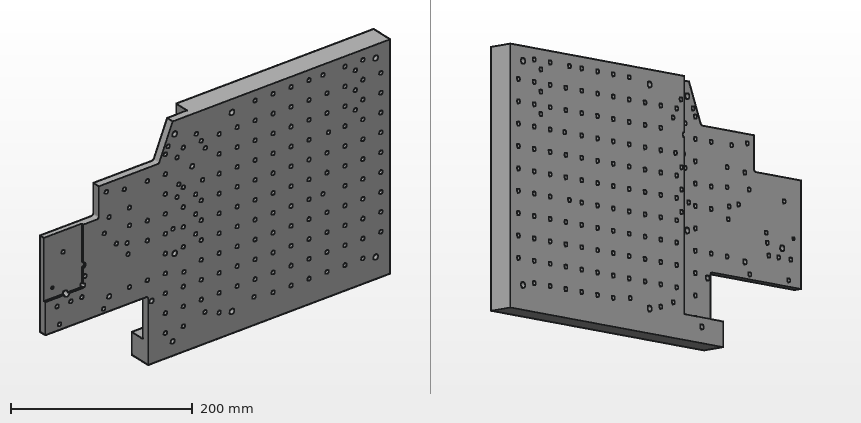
import cadquery as cq

length = 480.0
height = 295.0
thickness = 30.0
web_thickness = 10.0
y_edge = length / 2
z_top = height / 2

slope_start = 303.0
slope_end = 322.0
shoulder_depth = 46.5
shoulder_end = 405.5
tab_top = 87.5
tab_bottom = 209.0
body_length = 337.0
corner_radius = 3.0

recess_start = 275.0
recess_bottom = 266.5
recess_radius = 1.5

pocket_start = 427.0
pocket_bottom = 167.0
pocket_depth = 3.0
relief_radius = 3.5
relief_down = 138.5

hole_diameter = 5.0
dowel_diameter = 6.0
mount_diameter = 6.5
pin_diameter = 3.5

grid_margin = 13.0
grid_span = 300.0
grid_pitch = grid_span / 12
grid_columns = [
    [1, 2, 4, 5, 6, 7],
    [*range(13)],
    [*range(10), 12, 13],
    [0, 1, 2, *range(4, 10), 11, 12, 14],
    [*range(14)],
    [*range(14)],
    [0, 1, 2, *range(4, 13)],
    [*range(11), 12, 13, 14],
    [*range(13)],
    [*range(13)],
    [*range(1, 7), 9, 11, 12],
]

extra_holes = [
    (93.5, 13.0), (48.5, 22.5), (270.0, 27.0), (309.0, 29.5), (48.5, 47.5), (296.5, 47.5),
    (257.5, 49.0), (395.0, 57.0), (370.0, 62.5), (48.5, 72.5), (294.0, 82.0), (86.0, 88.0),
    (261.0, 88.0), (391.0, 90.0), (296.5, 97.5), (270.5, 102.5), (398.0, 108.5), (363.0, 110.5),
    (453.0, 114.0), (270.5, 127.5), (381.0, 127.0), (366.0, 131.5), (302.5, 135.5), (365.0, 146.0),
    (270.5, 152.5), (425.0, 153.0), (93.5, 162.5), (426.5, 164.0), (429.0, 178.0), (444.5, 178.0),
    (463.5, 178.0), (287.0, 195.0), (460.5, 201.5), (399.0, 203.0), (258.0, 255.5), (189.5, 259.5),
]
dowel_holes = [(275.5, 66.0), (391.0, 190.0), (332.0, 216.0), (303.0, 277.0)]
mount_holes = [
    (20.0, 17.0), (220.5, 17.0), (300.0, 17.0), (300.0, 167.0), (450.0, 167.0), (20.0, 267.5), (220.5, 267.5),
]
pin_holes = [(468.0, 154.0)]


def place(along, down):
    """Y, Z point from distances to the Y edge and to the top edge."""
    return (y_edge - along, z_top - down)


def block(x_min, x_max, start, end, top, bottom):
    """Box spanning the given X range and edge distances."""
    return cq.Workplane("XY").box(x_max - x_min, end - start, bottom - top).translate(
        ((x_min + x_max) / 2, y_edge - (start + end) / 2, z_top - (top + bottom) / 2)
    )


def at_point(along, down):
    """Selector for the edges along X that pass through a point."""
    y, z = place(along, down)
    reach = 0.5
    return cq.selectors.BoxSelector(
        (-reach, y - reach, z - reach), (thickness + reach, y + reach, z + reach)
    )


def drill(part, points, diameter):
    """Cut round holes along X through the whole thickness."""
    tools = cq.Workplane("YZ").pushPoints([place(*p) for p in points]).circle(diameter / 2)
    return part.cut(tools.extrude(thickness))


outline = [
    (0, 0),
    (slope_start, 0),
    (slope_end, shoulder_depth),
    (shoulder_end, shoulder_depth),
    (shoulder_end, tab_top),
    (length, tab_top),
    (length, tab_bottom),
    (body_length, tab_bottom),
    (body_length, height),
    (0, height),
]
plate = cq.Workplane("YZ").polyline([place(*p) for p in outline]).close().extrude(thickness)
for corner in [(slope_end, shoulder_depth), (shoulder_end, tab_top), (body_length, tab_bottom)]:
    plate = plate.edges(at_point(*corner)).fillet(corner_radius)

recess = block(0, thickness - web_thickness, recess_start, length, 0, recess_bottom)
recess = recess.edges(at_point(recess_start, recess_bottom)).fillet(recess_radius)
plate = plate.cut(recess)

pocket = block(thickness - pocket_depth, thickness, pocket_start, length, tab_top, pocket_bottom)
relief = (
    cq.Workplane("YZ", origin=(thickness - pocket_depth, 0, 0))
    .center(*place(pocket_start, relief_down))
    .circle(relief_radius)
    .extrude(pocket_depth)
)
plate = plate.cut(pocket).cut(relief)

grid_holes = [
    (grid_margin + column * grid_pitch, grid_margin + row * grid_pitch)
    for row, columns in enumerate(grid_columns)
    for column in columns
]
plate = drill(plate, grid_holes, hole_diameter)
plate = drill(plate, extra_holes, hole_diameter)
plate = drill(plate, dowel_holes, dowel_diameter)
plate = drill(plate, mount_holes, mount_diameter)
plate = drill(plate, pin_holes, pin_diameter)

result = plate